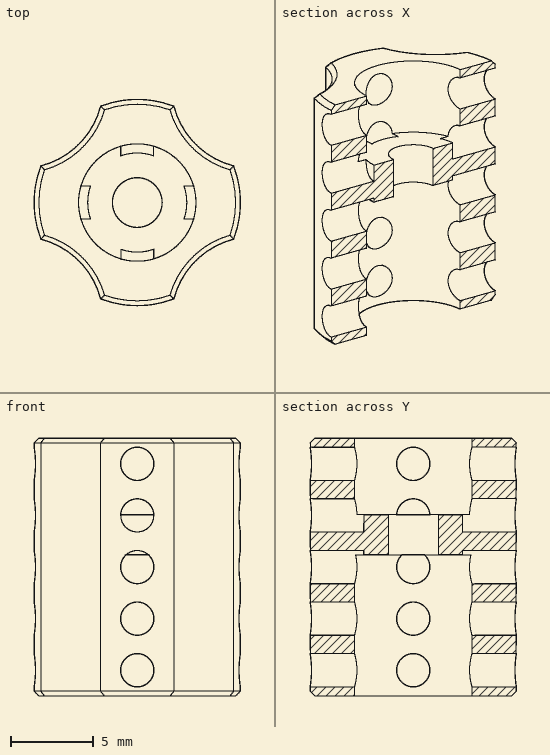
import cadquery as cq

height = 15.62
outer_radius = 12.5 / 2
edge_chamfer = 0.3

scallop_count = 4
scallop_start_angle = 45
scallop_radius = 5.0
scallop_center_radius = 2 * scallop_radius

bore_radius = 7.1 / 2
web_hole_radius = 3.0 / 2
web_thickness = 2.44
web_center_z = 9.76
web_bottom = web_center_z - web_thickness / 2
web_top = web_center_z + web_thickness / 2

lobe_count = 4
holes_per_lobe = 5
hole_radius = 2.0 / 2
hole_pitch = height / holes_per_lobe
hole_end_radius = 3.0


def make_body():
    """Round bar with four concave scallops and chamfered end faces."""
    scallops = (
        cq.Workplane("XY")
        .polarArray(scallop_center_radius, scallop_start_angle, 360, scallop_count)
        .circle(scallop_radius)
        .extrude(height)
    )
    body = cq.Workplane("XY").circle(outer_radius).extrude(height).cut(scallops)
    return body.faces("<Z or >Z").chamfer(edge_chamfer)


def make_bores():
    """Upper bore, lower bore and the hole that joins them through the web."""
    upper = cq.Workplane("XY", origin=(0, 0, web_top)).circle(bore_radius).extrude(height - web_top)
    lower = cq.Workplane("XY").circle(bore_radius).extrude(web_bottom)
    web_hole = cq.Workplane("XY").circle(web_hole_radius).extrude(height)
    return upper.union(lower).union(web_hole)


def make_radial_holes():
    """Rows of radial holes whose inner ends lie on a cylinder about the axis."""
    core = cq.Workplane("XY").circle(hole_end_radius).extrude(height)
    centers = [(0, (i + 0.5) * hole_pitch) for i in range(holes_per_lobe)]
    row = cq.Workplane("YZ").pushPoints(centers).circle(hole_radius).extrude(outer_radius).cut(core)
    rows = row
    for i in range(1, lobe_count):
        rows = rows.union(row.rotate((0, 0, 0), (0, 0, 1), i * 360 / lobe_count))
    return rows


result = make_body().cut(make_bores()).cut(make_radial_holes())